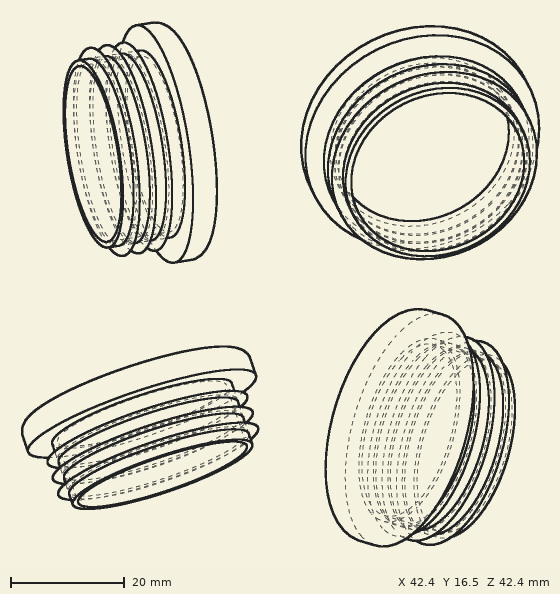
import cadquery as cq

cap_diameter = 42.4
cap_thickness = 5.0
cap_edge_radius = 2.0
overall_length = 16.5
plug_diameter = 33.4
wall_thickness = 1.0
fin_count = 3
fin_pitch = 3.0
fin_diameter = 37.2
fin_root_thickness = 0.5

plug_length = overall_length - cap_thickness
bore_diameter = plug_diameter - 2 * wall_thickness


def disc(diameter, start, length):
    """Round disc starting at Y = start and extending toward +Y."""
    return cq.Workplane("XZ", origin=(0, start, 0)).circle(diameter / 2).extrude(-length)


def make_cap():
    """Cap with its underside at Y = 0 and a rounded outer edge."""
    return disc(cap_diameter, 0, cap_thickness).faces(">Y").edges().fillet(cap_edge_radius)


def make_fin(flat_face_y):
    """Sharp-edged ring, flat toward the cap and tapered toward the open end."""
    inner_radius = (plug_diameter - wall_thickness) / 2
    root_y = flat_face_y - fin_root_thickness
    return (
        cq.Workplane("XY")
        .moveTo(inner_radius, flat_face_y)
        .lineTo(fin_diameter / 2, flat_face_y)
        .lineTo(plug_diameter / 2, root_y)
        .lineTo(inner_radius, root_y)
        .close()
        .revolve(360, (0, 0, 0), (0, 1, 0))
    )


plug = disc(plug_diameter, -plug_length, plug_length)
bore = disc(bore_diameter, -plug_length, plug_length)
result = make_cap().union(plug.cut(bore))

for index in range(fin_count):
    result = result.union(make_fin(-fin_pitch * (index + 1)))